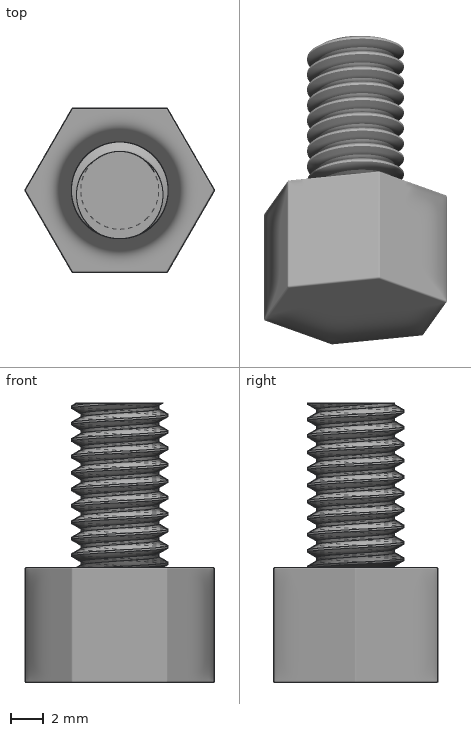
import cadquery as cq
import math

TOTAL_HEIGHT = 17.0
ACROSS_FLATS = 10.0
HEX_HEIGHT = 7.0
EDGE_RADIUS = 0.1

CREST_RADIUS = 5.88 / 2
ROOT_RADIUS = 4.75 / 2
THREAD_TURNS = 10
FLANK_HALF_ANGLE = 30.0
CREST_SHARE = 1 / 8
CREST_DIRECTION = -90.0
RIDGE_OVERLAP = 0.08
EXTRA_TURNS = 1

thread_length = TOTAL_HEIGHT - HEX_HEIGHT
pitch = thread_length / THREAD_TURNS


def make_hex_body():
    """Hexagonal body with two flats facing +Y and -Y and all edges rounded."""
    across_corners = ACROSS_FLATS / math.cos(math.pi / 6)
    body = cq.Workplane("XY").polygon(6, across_corners).extrude(HEX_HEIGHT)
    return body.edges().fillet(EDGE_RADIUS)


def make_ridge():
    """Helical ridge of trapezoidal section, one extra turn longer at each end."""
    base_radius = ROOT_RADIUS - RIDGE_OVERLAP
    half_crest = pitch * CREST_SHARE / 2
    half_base = half_crest + (CREST_RADIUS - base_radius) * math.tan(math.radians(FLANK_HALF_ANGLE))
    ridge_length = (THREAD_TURNS + 2 * EXTRA_TURNS) * pitch
    start_height = HEX_HEIGHT - EXTRA_TURNS * pitch

    corners = [
        (base_radius, -half_base),
        (CREST_RADIUS, -half_crest),
        (CREST_RADIUS, half_crest),
        (base_radius, half_base),
    ]
    helices = [
        cq.Wire.makeHelix(pitch, ridge_length, radius, center=cq.Vector(0, 0, start_height + height))
        for radius, height in corners
    ]
    faces = []
    for index, helix in enumerate(helices):
        next_helix = helices[(index + 1) % len(helices)]
        faces.extend(cq.Face.makeRuledSurface(helix, next_helix).Faces())

    for end_height in (start_height, start_height + ridge_length):
        points = [cq.Vector(radius, 0, end_height + height) for radius, height in corners]
        faces.append(cq.Face.makeFromWires(cq.Wire.makePolygon(points, close=True)))

    ridge = cq.Solid.makeSolid(cq.Shell.makeShell(faces))
    return cq.Workplane(ridge).rotate((0, 0, 0), (0, 0, 1), CREST_DIRECTION)


def make_thread():
    """Threaded stud: the ridge cut level at both ends and joined to the core."""
    seat = cq.Workplane("XY", origin=(0, 0, HEX_HEIGHT))
    core = seat.circle(ROOT_RADIUS).extrude(thread_length)
    trim_block = seat.rect(ACROSS_FLATS, ACROSS_FLATS).extrude(thread_length)
    return core.union(make_ridge().intersect(trim_block))


result = make_hex_body().union(make_thread())